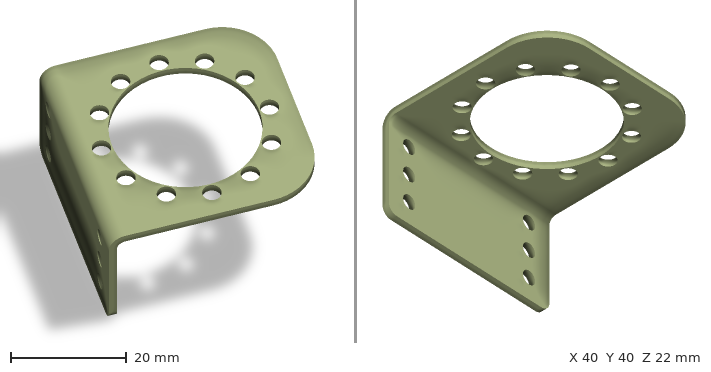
import cadquery as cq

width = 40.0
depth = 40.0
height = 22.0

bend_outer_radius = 3.0
thickness = bend_outer_radius / 2
bend_inner_radius = bend_outer_radius - thickness

plate_corner_radius = 10.0
flange_corner_radius = 2.0

opening_diameter = 26.7
ring_radius = 15.25
ring_hole_diameter = 3.35
ring_hole_count = 12
ring_center_from_front = 20.2

flange_hole_diameter = 3.0
flange_hole_spacing_x = 29.85
flange_hole_pitch_z = 6.0
flange_hole_columns = 2
flange_hole_rows = 3
middle_row_from_top = 11.2


def make_bent_sheet():
    """L-shaped sheet, front face at Y = 0, top face at Z = 0, centred on X."""
    sheet = (
        cq.Workplane("YZ")
        .rect(depth, -height, centered=False)
        .extrude(width / 2, both=True)
    )
    clearance = (
        cq.Workplane("YZ")
        .moveTo(thickness, -height)
        .rect(depth - thickness, height - thickness, centered=False)
        .extrude(width / 2, both=True)
    )
    clearance = clearance.edges("|X and <Y and >Z").fillet(bend_inner_radius)
    sheet = sheet.edges("|X and <Y and >Z").fillet(bend_outer_radius)
    return sheet.cut(clearance)


def round_corners(sheet):
    """Round the rear plate corners and the lower flange corners."""
    sheet = sheet.faces(">Y").edges("|Z").fillet(plate_corner_radius)
    return sheet.faces("<Z").edges("|Y").fillet(flange_corner_radius)


def make_plate_cutters():
    """Opening and surrounding ring of holes, through the plate only."""
    plane = cq.Workplane("XY").center(0, ring_center_from_front)
    opening = plane.circle(opening_diameter / 2).extrude(-thickness)
    ring = (
        plane.polarArray(ring_radius, 0, 360, ring_hole_count)
        .circle(ring_hole_diameter / 2)
        .extrude(-thickness)
    )
    return opening, ring


def make_flange_cutters():
    """Grid of round holes through the vertical flange."""
    return (
        cq.Workplane("XZ")
        .center(0, -middle_row_from_top)
        .rarray(flange_hole_spacing_x, flange_hole_pitch_z, flange_hole_columns, flange_hole_rows)
        .circle(flange_hole_diameter / 2)
        .extrude(-thickness)
    )


result = round_corners(make_bent_sheet())
for cutter in make_plate_cutters():
    result = result.cut(cutter)
result = result.cut(make_flange_cutters())